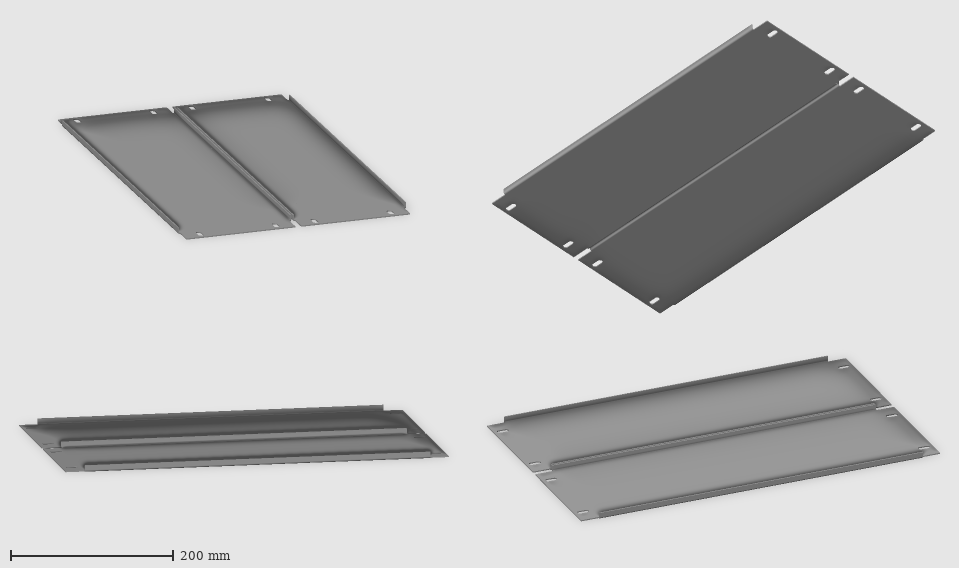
import cadquery as cq

panel_length = 482.0
total_depth = 298.0
panel_height = 8.0
panel_pitch = 150.0
panel_depth = total_depth - panel_pitch

sheet = 1.5
bend_inner = 0.7
bend_outer = bend_inner + sheet
flange_length = 435.0

ear_inset = 3.0
ear_depth = panel_depth - 2 * ear_inset

slot_edge_gap = 4.5
slot_length = 15.5
slot_width = 6.7
slot_pitch = 99.5


def folded_channel():
    """Shallow upward channel with rounded bends, centred on X and Y."""
    outer = (
        cq.Workplane("XY")
        .box(flange_length, panel_depth, panel_height, centered=(True, True, False))
        .edges("|X and <Z")
        .fillet(bend_outer)
    )
    inner = (
        cq.Workplane("XY")
        .workplane(offset=sheet)
        .box(flange_length, panel_depth - 2 * sheet, panel_height, centered=(True, True, False))
        .edges("|X and <Z")
        .fillet(bend_inner)
    )
    return outer.cut(inner)


def ear_plate():
    """Flat plate running the full length, whose ends form the mounting ears."""
    return cq.Workplane("XY").box(panel_length, ear_depth, sheet, centered=(True, True, False))


def mounting_slots():
    """Cutters for the four slots, two in each ear."""
    slot_x = panel_length / 2 - slot_edge_gap - slot_length / 2
    return (
        cq.Workplane("XY")
        .rect(2 * slot_x, slot_pitch, forConstruction=True)
        .vertices()
        .slot2D(slot_length, slot_width)
        .extrude(sheet)
    )


def panel(center_y):
    """One blank panel with two folded flanges and four mounting slots."""
    body = folded_channel().union(ear_plate()).cut(mounting_slots())
    return body.translate((0, center_y, 0))


panels = [panel(center_y).val() for center_y in (-panel_pitch / 2, panel_pitch / 2)]

result = cq.Compound.makeCompound(panels)